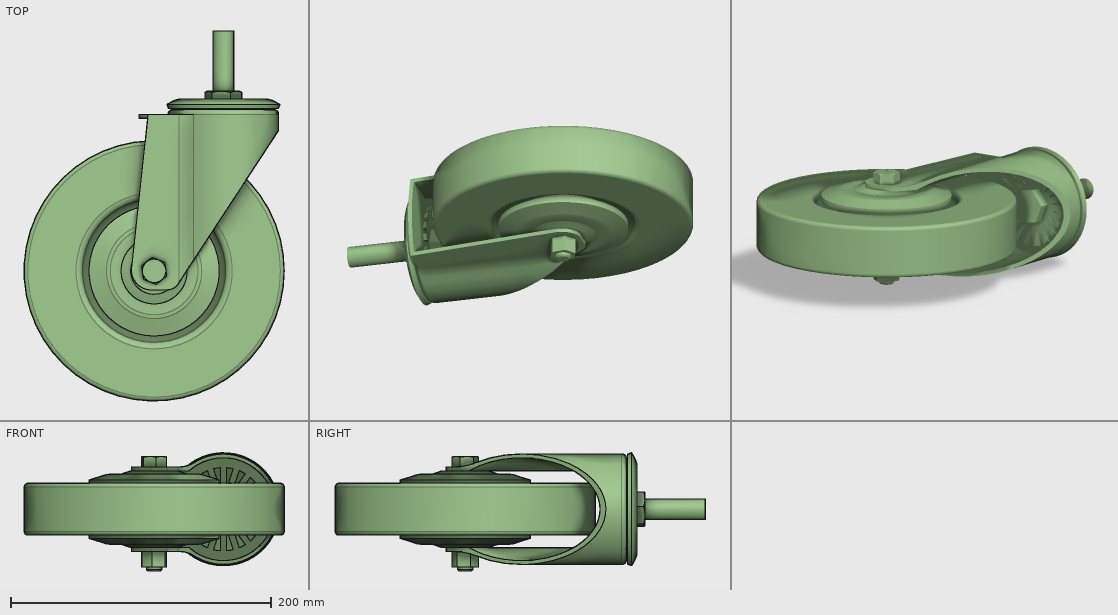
import cadquery as cq
import math


WHEEL_RADIUS = 100.0
WHEEL_HALF_WIDTH = 20.0
TREAD_FILLET = 3.0
RIM_RADIUS = 60.0
RIM_ARC = 5.0
WEB_RADIUS = RIM_RADIUS - 2 * RIM_ARC
WEB_HALF_WIDTH = WHEEL_HALF_WIDTH - 2 * RIM_ARC

CAP_RIM_RADIUS = WEB_RADIUS
CAP_RIM_BOTTOM = 17.8
CAP_RIM_TOP = 22.5
CAP_FACE_RADIUS = 36.6
CAP_FACE_HEIGHT = 26.7
CAP_STEP_RADIUS = 33.7
CAP_STEP_HEIGHT = 0.3
CAP_CONE_RADIUS = 25.4
CAP_TIP_RADIUS = 18.0

SHEET = 3.0
LEG_OUTER = 32.5
LEG_INNER = LEG_OUTER - SHEET
SWIVEL_X = 53.2
FORK_RADIUS = 42.5
FORK_BLEND = 20.0
FORK_TOP = 120.2
PLATE_BOTTOM = FORK_TOP - SHEET
FORK_RIGHT = SWIVEL_X + FORK_RADIUS

LEG_BOTTOM = -14.6
LEG_LEFT_BOTTOM = -19.1
LEG_LEFT_TOP = -4.7
LEG_RIGHT_BOTTOM = 15.4
LEG_LEFT_FILLET = 15.0
LEG_RIGHT_FILLET = 10.0
BACK_EDGE_Y = 108.0
LIP_X = -11.9

SEAT_TOP = 123.9
SEAT_FILLET = SEAT_TOP - FORK_TOP
TEETH = 20
TEETH_RADIUS = 32.0
TEETH_ROOT_RADIUS = 16.0
TEETH_HEIGHT = 2.7
TEETH_SLOPE = math.radians(16.5)
TEETH_GAP = 4.8
TEETH_PLATE_RADIUS = TEETH_RADIUS - TEETH_HEIGHT / math.tan(TEETH_SLOPE)

COVER_NECK_RADIUS = 31.0
COVER_BOTTOM = 124.6
COVER_BOTTOM_RADIUS = 42.3
COVER_RIM_RADIUS = 43.43
COVER_RIM_Y = 127.9
COVER_TOP = 132.1
COVER_TOP_RADIUS = 32.0
COVER_SHOULDER_RADIUS = 39.0
COVER_SHOULDER_Y = 130.3

STEM_RADIUS = 8.0
STEM_TOP = 184.45
STEM_HEAD_BOTTOM = 108.6
STEM_NUT_TOP = 138.0
STEM_HEX = 25.0
STEM_HEX_TURN = 8.0

AXLE_RADIUS = 6.0
AXLE_HEX = 18.0
AXLE_HEAD_TURN = 38.0
AXLE_NUT_TURN = 22.0
AXLE_HEAD_HEIGHT = 8.0
AXLE_NUT_HEIGHT = 12.0
AXLE_END = -47.5
AXLE_CHAMFER = 1.2


def hexagon(across_flats, height, turn):
    """Hexagonal prism standing on Z = 0, with one corner at `turn` degrees from X."""
    corner_radius = across_flats / math.sqrt(3)
    prism = cq.Workplane("XY").polygon(6, 2 * corner_radius).extrude(height)
    return prism.rotate((0, 0, 0), (0, 0, 1), turn)


def chamfered_hexagon(across_flats, height, turn):
    """Hexagonal prism whose top corners are turned down to the width across the flats."""
    corner_radius = across_flats / math.sqrt(3)
    corner_cut = corner_radius - across_flats / 2
    envelope = cq.Workplane("XY").circle(corner_radius).extrude(height)
    envelope = envelope.faces(">Z").chamfer(corner_cut / 2, corner_cut)
    return hexagon(across_flats, height, turn).intersect(envelope)


def along_swivel(shape, base_y):
    """Stand a shape built along Z on the swivel axis, its base at height `base_y`, pointing to +Y."""
    return shape.rotate((0, 0, 0), (1, 0, 0), -90).translate((SWIVEL_X, base_y, 0))


def swivel_cylinder(radius, bottom, top):
    return along_swivel(cq.Workplane("XY").circle(radius).extrude(top - bottom), bottom)


def axle_cylinder(radius, bottom, top):
    return cq.Workplane("XY").workplane(offset=bottom).circle(radius).extrude(top - bottom)


def make_wheel():
    wheel = axle_cylinder(WHEEL_RADIUS, -WHEEL_HALF_WIDTH, WHEEL_HALF_WIDTH)
    wheel = wheel.faces("<Z or >Z").edges().fillet(TREAD_FILLET)
    bend_radius = RIM_RADIUS - RIM_ARC
    bend_height = WHEEL_HALF_WIDTH - RIM_ARC
    mid_arc = RIM_ARC * math.sqrt(0.5)
    recess = (
        cq.Workplane("XZ")
        .moveTo(0, WEB_HALF_WIDTH)
        .lineTo(WEB_RADIUS, WEB_HALF_WIDTH)
        .threePointArc(
            (WEB_RADIUS + mid_arc, bend_height - mid_arc),
            (bend_radius, bend_height),
        )
        .threePointArc(
            (RIM_RADIUS - mid_arc, bend_height + mid_arc),
            (RIM_RADIUS, WHEEL_HALF_WIDTH),
        )
        .lineTo(0, WHEEL_HALF_WIDTH)
        .close()
        .revolve(360, (0, 0, 0), (0, 1, 0))
    )
    wheel = wheel.cut(recess).cut(recess.mirror("XY"))
    return wheel.cut(axle_cylinder(AXLE_RADIUS, -WHEEL_HALF_WIDTH, WHEEL_HALF_WIDTH))


def make_cap():
    step_height = CAP_FACE_HEIGHT + CAP_STEP_HEIGHT
    return (
        cq.Workplane("XZ")
        .moveTo(AXLE_RADIUS, WEB_HALF_WIDTH)
        .lineTo(CAP_FACE_RADIUS, WEB_HALF_WIDTH)
        .lineTo(CAP_FACE_RADIUS, CAP_RIM_BOTTOM)
        .lineTo(CAP_RIM_RADIUS, CAP_RIM_BOTTOM)
        .lineTo(CAP_RIM_RADIUS, CAP_RIM_TOP)
        .lineTo(CAP_FACE_RADIUS, CAP_FACE_HEIGHT)
        .lineTo(CAP_STEP_RADIUS, step_height)
        .lineTo(CAP_CONE_RADIUS, step_height)
        .lineTo(CAP_TIP_RADIUS, LEG_INNER)
        .lineTo(AXLE_RADIUS, LEG_INNER)
        .close()
        .revolve(360, (0, 0, 0), (0, 1, 0))
    )


def fork_section():
    """Cross-section of the fork's outside: flat legs blended into a round back."""
    blend_z = LEG_OUTER + FORK_BLEND
    centre_gap = FORK_RADIUS + FORK_BLEND
    blend_x = SWIVEL_X - math.sqrt(centre_gap**2 - blend_z**2)
    share = FORK_RADIUS / centre_gap
    join_x = SWIVEL_X + (blend_x - SWIVEL_X) * share
    join_z = blend_z * share
    middle = (math.atan2(join_z - blend_z, join_x - blend_x) - math.pi / 2) / 2
    arc_x = blend_x + FORK_BLEND * math.cos(middle)
    arc_z = blend_z + FORK_BLEND * math.sin(middle)
    return (
        cq.Workplane("XZ")
        .moveTo(LEG_LEFT_BOTTOM, -LEG_OUTER)
        .lineTo(blend_x, -LEG_OUTER)
        .threePointArc((arc_x, -arc_z), (join_x, -join_z))
        .threePointArc((FORK_RIGHT, 0), (join_x, join_z))
        .threePointArc((arc_x, arc_z), (blend_x, LEG_OUTER))
        .lineTo(LEG_LEFT_BOTTOM, LEG_OUTER)
        .close()
    )


def fork_outline():
    """Side outline shared by both legs, as a solid across the full width of the fork."""
    outline = (
        cq.Workplane("XY")
        .workplane(offset=-FORK_RADIUS)
        .moveTo(LEG_LEFT_BOTTOM, LEG_BOTTOM)
        .lineTo(LEG_RIGHT_BOTTOM, LEG_BOTTOM)
        .lineTo(FORK_RIGHT, BACK_EDGE_Y)
        .lineTo(FORK_RIGHT, FORK_TOP)
        .lineTo(LEG_LEFT_TOP, FORK_TOP)
        .close()
        .extrude(2 * FORK_RADIUS)
    )
    left_corner = cq.selectors.NearestToPointSelector((LEG_LEFT_BOTTOM, LEG_BOTTOM, 0))
    right_corner = cq.selectors.NearestToPointSelector((LEG_RIGHT_BOTTOM, LEG_BOTTOM, 0))
    outline = outline.edges("|Z").edges(left_corner).fillet(LEG_LEFT_FILLET)
    return outline.edges("|Z").edges(right_corner).fillet(LEG_RIGHT_FILLET)


def fork_inside():
    """Space between the legs, under the fork plate."""
    depth = PLATE_BOTTOM - LEG_BOTTOM
    slot_length = SWIVEL_X - LEG_LEFT_BOTTOM
    inner_round = swivel_cylinder(FORK_RADIUS - SHEET, LEG_BOTTOM, PLATE_BOTTOM)
    slot = cq.Workplane("XY").box(slot_length, depth, 2 * LEG_INNER, centered=(False, False, True))
    return slot.translate((LEG_LEFT_BOTTOM, LEG_BOTTOM, 0)).union(inner_round)


def plate_lip():
    """Bowed front edge of the fork plate."""
    return (
        cq.Workplane("XZ", origin=(0, FORK_TOP, 0))
        .moveTo(0, -LEG_OUTER)
        .lineTo(LEG_LEFT_TOP, -LEG_OUTER)
        .threePointArc((LIP_X, 0), (LEG_LEFT_TOP, LEG_OUTER))
        .lineTo(0, LEG_OUTER)
        .close()
        .extrude(SHEET)
    )


def between_channels(profile):
    """Sweep a radial profile round the swivel axis, parted by straight radial channels."""
    ring = cq.Workplane("XY").polyline(profile).close().revolve(360, (0, 0, 0), (0, 1, 0))
    channel = cq.Workplane("XY").box(2 * TEETH_RADIUS, FORK_TOP, TEETH_GAP, centered=(False, False, True))
    for index in range(TEETH):
        ring = ring.cut(channel.rotate((0, 0, 0), (0, 1, 0), index * 360 / TEETH))
    return ring.translate((SWIVEL_X, 0, 0)).solids().vals()


def fork_teeth():
    """Wedges under the plate, each rising towards its outer end."""
    return between_channels([
        (TEETH_PLATE_RADIUS, PLATE_BOTTOM),
        (TEETH_RADIUS, PLATE_BOTTOM - TEETH_HEIGHT),
        (TEETH_RADIUS, PLATE_BOTTOM),
    ])


def fork_grooves():
    """Pockets that carry the slope of each wedge on into the plate, towards the stem."""
    depth = (TEETH_PLATE_RADIUS - TEETH_ROOT_RADIUS) * math.tan(TEETH_SLOPE)
    return between_channels([
        (TEETH_PLATE_RADIUS, PLATE_BOTTOM),
        (TEETH_ROOT_RADIUS, PLATE_BOTTOM + depth),
        (TEETH_ROOT_RADIUS, PLATE_BOTTOM),
    ])


def make_fork():
    fork = fork_section().extrude(FORK_TOP - LEG_BOTTOM)
    fork = fork.translate((0, FORK_TOP, 0)).intersect(fork_outline()).cut(fork_inside())
    seat = swivel_cylinder(FORK_RADIUS, PLATE_BOTTOM, SEAT_TOP).faces(">Y").edges().fillet(SEAT_FILLET)
    fork = fork.union(plate_lip()).union(seat)
    for tooth in fork_teeth():
        fork = fork.union(cq.Workplane(tooth))
    for groove in fork_grooves():
        fork = fork.cut(cq.Workplane(groove))
    fork = fork.cut(axle_cylinder(AXLE_RADIUS, -LEG_OUTER, LEG_OUTER))
    return fork.cut(swivel_cylinder(STEM_RADIUS, PLATE_BOTTOM, SEAT_TOP))


def make_cover():
    return (
        cq.Workplane("XY")
        .moveTo(STEM_RADIUS, SEAT_TOP)
        .lineTo(COVER_NECK_RADIUS, SEAT_TOP)
        .lineTo(COVER_NECK_RADIUS, COVER_BOTTOM)
        .lineTo(COVER_BOTTOM_RADIUS, COVER_BOTTOM)
        .lineTo(COVER_RIM_RADIUS, COVER_RIM_Y)
        .lineTo(COVER_SHOULDER_RADIUS, COVER_SHOULDER_Y)
        .tangentArcPoint((COVER_TOP_RADIUS, COVER_TOP), relative=False)
        .lineTo(STEM_RADIUS, COVER_TOP)
        .close()
        .revolve(360, (0, 0, 0), (0, 1, 0))
        .translate((SWIVEL_X, 0, 0))
    )


def make_stem():
    head = hexagon(STEM_HEX, PLATE_BOTTOM - STEM_HEAD_BOTTOM, -STEM_HEX_TURN)
    head = along_swivel(head, STEM_HEAD_BOTTOM)
    return head.union(swivel_cylinder(STEM_RADIUS, PLATE_BOTTOM, STEM_TOP))


def make_stem_nut():
    nut = chamfered_hexagon(STEM_HEX, STEM_NUT_TOP - COVER_TOP, -STEM_HEX_TURN)
    nut = along_swivel(nut, COVER_TOP)
    return nut.cut(swivel_cylinder(STEM_RADIUS, COVER_TOP, STEM_NUT_TOP))


def make_axle_bolt():
    head = chamfered_hexagon(AXLE_HEX, AXLE_HEAD_HEIGHT, AXLE_HEAD_TURN).translate((0, 0, LEG_OUTER))
    shank = axle_cylinder(AXLE_RADIUS, AXLE_END, LEG_OUTER).faces("<Z").chamfer(AXLE_CHAMFER)
    return head.union(shank)


def make_axle_nut():
    nut_bottom = -LEG_OUTER - AXLE_NUT_HEIGHT
    nut = hexagon(AXLE_HEX, AXLE_NUT_HEIGHT, AXLE_NUT_TURN).translate((0, 0, nut_bottom))
    return nut.cut(axle_cylinder(AXLE_RADIUS, nut_bottom, -LEG_OUTER))


wheel = make_wheel()
caps = [make_cap(), make_cap().mirror("XY")]
fork = make_fork()
cover = make_cover()
stem = make_stem()
stem_nut = make_stem_nut()
axle_bolt = make_axle_bolt()
axle_nut = make_axle_nut()

result = cq.Compound.makeCompound([
    wheel.val(),
    *[cap.val() for cap in caps],
    fork.val(),
    cover.val(),
    stem.val(),
    stem_nut.val(),
    axle_bolt.val(),
    axle_nut.val(),
])